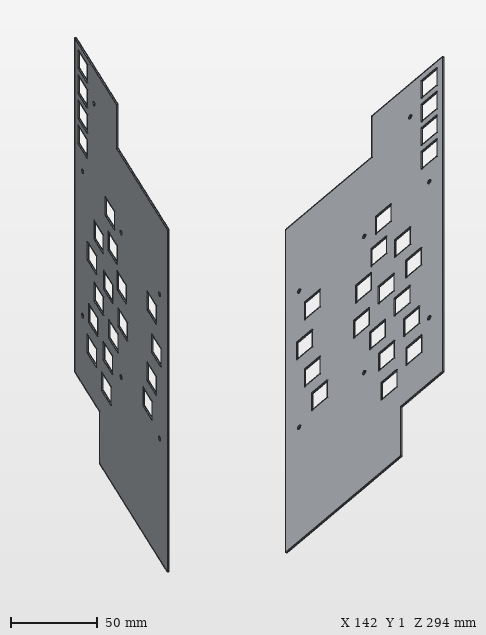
import cadquery as cq

width = 142.0
height = 294.0
thickness = 1.0

top_step_left = 64.0
top_step_bottom = 260.8
bottom_step_right = 38.0
bottom_step_top = 39.7

opening_side = 14.0

column_x = 12.3
column_top_z = 282.0
column_pitch = 19.0
column_count = 4

left_cluster = [
    (53.8, 203.2),
    (58.0, 180.2),
    (36.5, 171.5),
    (71.7, 161.0),
    (26.5, 147.3),
    (51.2, 145.0),
    (73.5, 134.0),
    (36.8, 124.5),
    (59.0, 113.8),
    (28.2, 101.5),
    (51.0, 90.5),
    (26.2, 76.5),
    (48.5, 65.3),
]
right_cluster = [
    (118.0, 182.3),
    (125.0, 155.2),
    (118.0, 128.2),
    (111.5, 104.0),
]

hole_diameter = 2.7
hole_columns = 3
hole_rows = 2
hole_first_z = 92.0
hole_pitch_x = 58.8
hole_pitch_z = 110.0
hole_first_x = (width - (hole_columns - 1) * hole_pitch_x) / 2
top_hole = (29.5, 267.2)


def plate():
    """Stepped plate whose front face lies on Y = 0."""
    outline = [
        (0, bottom_step_top),
        (bottom_step_right, bottom_step_top),
        (bottom_step_right, 0),
        (width, 0),
        (width, top_step_bottom),
        (top_step_left, top_step_bottom),
        (top_step_left, height),
        (0, height),
    ]
    return cq.Workplane("XZ").polyline(outline).close().extrude(-thickness)


def opening_cutters():
    """Square prisms through the plate at every switch position."""
    column = [(column_x, column_top_z - i * column_pitch) for i in range(column_count)]
    centres = column + left_cluster + right_cluster
    return (
        cq.Workplane("XZ")
        .pushPoints(centres)
        .rect(opening_side, opening_side)
        .extrude(-thickness)
    )


def hole_cutters():
    """Cylinders through the plate at every screw position."""
    grid = [
        (hole_first_x + i * hole_pitch_x, hole_first_z + j * hole_pitch_z)
        for i in range(hole_columns)
        for j in range(hole_rows)
    ]
    return (
        cq.Workplane("XZ")
        .pushPoints(grid + [top_hole])
        .circle(hole_diameter / 2)
        .extrude(-thickness)
    )


result = plate().cut(opening_cutters()).cut(hole_cutters())